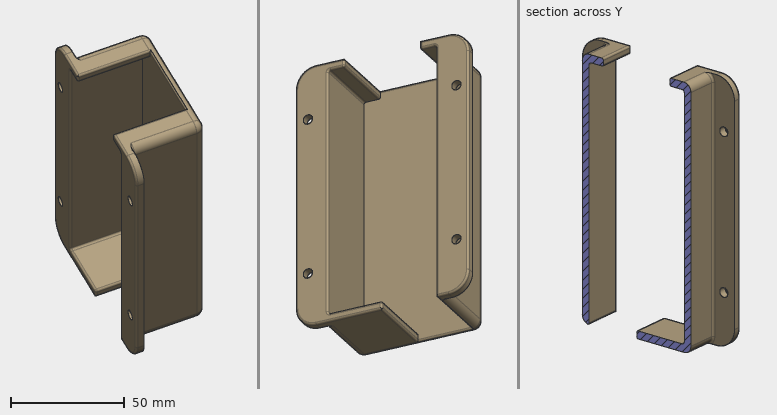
import cadquery as cq
FLANGE_WIDTH = 85.0
DEPTH = 39.0
HEIGHT = 128.0

HOUSING_WIDTH = 61.0
WALL = 4.0
FLANGE_THICKNESS = 4.0
FLANGE_CORNER_RADIUS = 10.0
HOUSING_EDGE_RADIUS = 4.0
SMALL_RADIUS = 1.0

TOP_SLOT_WIDTH = 37.0
TAB_END_X = 0.0

HOLE_DIAMETER = 4.5
HOLE_SPACING_X = 73.0
HOLE_SPACING_Z = 76.0

CAVITY_WIDTH = HOUSING_WIDTH - 2 * WALL
CAVITY_DEPTH = DEPTH - WALL
CAVITY_HEIGHT = HEIGHT - 2 * WALL
INNER_WALL_X = CAVITY_WIDTH / 2
TOP_Z = HEIGHT / 2
BOTTOM_Z = -HEIGHT / 2
MARGIN = 0.1
TRIM = 5.0


def block(width, depth, height):
    """Block centred on X and Z with its front face on Y = 0."""
    return cq.Workplane("XY").box(width, depth, height, centered=(True, False, True))


def make_housing():
    housing = block(HOUSING_WIDTH, DEPTH, HEIGHT).edges("|Y").fillet(HOUSING_EDGE_RADIUS)
    return housing.faces(">Y").edges().fillet(HOUSING_EDGE_RADIUS)


def make_flanged_housing():
    """Housing blended into an oversize plate, then trimmed to the flange outline."""
    plate = block(FLANGE_WIDTH + 2 * TRIM, FLANGE_THICKNESS, HEIGHT + 2 * TRIM)
    body = plate.union(make_housing())
    plate_back = cq.selectors.BoxSelector(
        (-FLANGE_WIDTH / 2, FLANGE_THICKNESS - SMALL_RADIUS / 2, BOTTOM_Z - TRIM / 2),
        (FLANGE_WIDTH / 2, FLANGE_THICKNESS + SMALL_RADIUS / 2, TOP_Z + TRIM / 2),
        boundingbox=True,
    )
    body = body.edges(plate_back).fillet(SMALL_RADIUS)
    outline = block(FLANGE_WIDTH, DEPTH, HEIGHT).edges("|Y").fillet(FLANGE_CORNER_RADIUS)
    return body.intersect(outline)


def cut_cavity(body):
    cavity = block(CAVITY_WIDTH, CAVITY_DEPTH, CAVITY_HEIGHT)
    return body.cut(cavity.edges("|Y").fillet(SMALL_RADIUS))


def cut_top_slot(body):
    slot = block(TOP_SLOT_WIDTH, CAVITY_DEPTH, WALL)
    return body.cut(slot.translate((0, 0, TOP_Z - WALL / 2)))


def cut_bottom_opening(body):
    """Open the bottom wall from the tab end to the +X wall, clearing the rounded cavity corner."""
    width = INNER_WALL_X - TAB_END_X
    height = WALL + SMALL_RADIUS
    opening = block(width, CAVITY_DEPTH, height)
    return body.cut(opening.translate((TAB_END_X + width / 2, 0, BOTTOM_Z + height / 2)))


def inner_rim_edges(body, min_x, max_x, wall_z):
    """Edges along Y where an opening meets the cavity side of the end wall at height wall_z."""
    limits = cq.selectors.BoxSelector(
        (min_x - MARGIN, -MARGIN, wall_z - MARGIN),
        (max_x + MARGIN, CAVITY_DEPTH + MARGIN, wall_z + MARGIN),
        boundingbox=True,
    )
    return body.edges(limits).edges("|Y")


def round_front_and_inner_rims(body):
    half_slot = TOP_SLOT_WIDTH / 2
    inner_z = CAVITY_HEIGHT / 2
    edges = body.faces("<Y").edges()
    edges.add(inner_rim_edges(body, -half_slot, half_slot, inner_z))
    edges.add(inner_rim_edges(body, TAB_END_X, TAB_END_X, -inner_z))
    return edges.fillet(SMALL_RADIUS)


def round_outer_rim(body, min_x, max_x, outer_side):
    """Round the rim of an opening on the outside of the end wall on the given side of Z.

    The cutter fills the opening and flares into a plate lying on the wall.
    """
    width = max_x - min_x
    post_depth = CAVITY_DEPTH + TRIM
    post = block(width, post_depth, WALL).translate((0, -TRIM, -WALL / 2))
    plate = block(width + 2 * TRIM, post_depth + 2 * TRIM, TRIM).translate((0, -2 * TRIM, TRIM / 2))
    post_top = cq.selectors.BoxSelector(
        (-width / 2 - MARGIN, -TRIM - MARGIN, -MARGIN),
        (width / 2 + MARGIN, CAVITY_DEPTH + MARGIN, MARGIN),
        boundingbox=True,
    )
    cutter = plate.union(post).edges(post_top).fillet(SMALL_RADIUS)
    if outer_side < 0:
        cutter = cutter.mirror("XY")
    return body.cut(cutter.translate(((min_x + max_x) / 2, 0, outer_side * HEIGHT / 2)))


def cut_mounting_holes(body):
    holes = (
        cq.Workplane("XZ")
        .rect(HOLE_SPACING_X, HOLE_SPACING_Z, forConstruction=True)
        .vertices()
        .circle(HOLE_DIAMETER / 2)
        .extrude(-FLANGE_THICKNESS)
    )
    return body.cut(holes)


body = make_flanged_housing()
body = cut_cavity(body)
body = cut_top_slot(body)
body = cut_bottom_opening(body)
body = round_front_and_inner_rims(body)
body = round_outer_rim(body, -TOP_SLOT_WIDTH / 2, TOP_SLOT_WIDTH / 2, 1)
body = round_outer_rim(body, TAB_END_X, INNER_WALL_X, -1)
result = cut_mounting_holes(body)